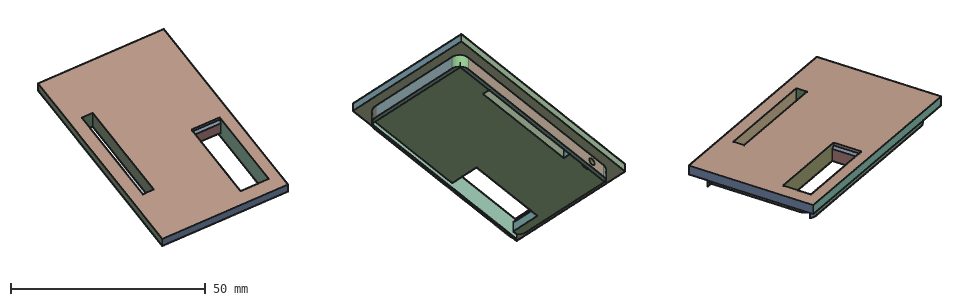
import cadquery as cq
import math

length = 62.9
width = 37.4
height = 6.9
plate_thickness = 2.7

base_margin = 2.6
base_height = height - plate_thickness
base_corner_radius = 3.0

window_left = 33.85
window_right = 58.7
window_front = 25.8
window_back = 34.15
window_straight_depth = 0.9
left_slope = 0.7
right_slope = 0.5
right_lip_radius = 1.0

slot_left = 16.0
slot_right = 46.9
slot_front = 3.65
slot_back = 6.85

recess_depth = 1.7
recess_left = 3.65

hole_diameter = 2.0
hole_x = 53.0
hole_z = 2.1
hole_depth = 2.5


def block(x_range, y_range, z_range):
    """Box spanning the given ranges."""
    starts, ends = zip(x_range, y_range, z_range)
    sizes = [end - start for start, end in zip(starts, ends)]
    return cq.Workplane("XY").box(*sizes, centered=False).translate(starts)


def make_plate():
    return block((0, length), (0, width), (base_height, height))


def make_base():
    x_range = (base_margin, length - base_margin)
    y_range = (base_margin, width - base_margin)
    base = block(x_range, y_range, (0, base_height))
    return base.edges("|Z").fillet(base_corner_radius)


def make_window():
    """Window profile with 45 degree slopes and a rounded lip on the right."""
    shoulder_z = height - window_straight_depth
    diagonal = math.sqrt(0.5)
    slope_end_x = window_right - right_slope
    slope_end_z = shoulder_z - right_slope
    lip_x = slope_end_x - right_lip_radius * (1 - diagonal)
    lip_z = slope_end_z - right_lip_radius * diagonal
    lip_center_x = lip_x + right_lip_radius
    lip_middle = (
        lip_center_x - right_lip_radius * math.cos(math.pi / 8),
        lip_z + right_lip_radius * math.sin(math.pi / 8),
    )
    return (
        cq.Workplane("XZ", origin=(0, window_back, 0))
        .moveTo(window_left, height)
        .lineTo(window_right, height)
        .lineTo(window_right, shoulder_z)
        .lineTo(slope_end_x, slope_end_z)
        .threePointArc(lip_middle, (lip_x, lip_z))
        .lineTo(lip_x, 0)
        .lineTo(window_left + left_slope, 0)
        .lineTo(window_left + left_slope, shoulder_z - left_slope)
        .lineTo(window_left, shoulder_z)
        .close()
        .extrude(window_back - window_front)
    )


def make_slot():
    return block((slot_left, slot_right), (slot_front, slot_back), (0, height))


def make_recess():
    return block((recess_left, length), (slot_front, window_back), (0, recess_depth))


def make_hole():
    return (
        cq.Workplane("XZ", origin=(hole_x, base_margin, hole_z))
        .circle(hole_diameter / 2)
        .extrude(-hole_depth)
    )


result = make_plate().union(make_base())
for cutter in (make_window(), make_slot(), make_recess(), make_hole()):
    result = result.cut(cutter)